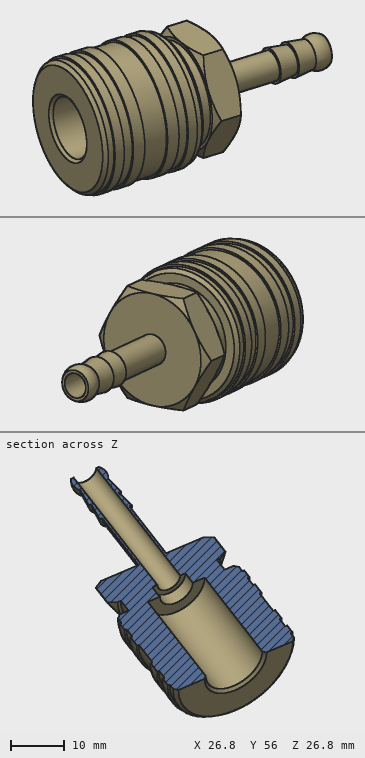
import cadquery as cq
import math


body_length = 22.0
neck_length = 2.75
hex_thickness = 6.25
overall_length = 56.0

body_radius = 13.0
end_chamfer = 0.75
ring_radius = 13.4
ring_spans = [(2.0, 4.0), (6.0, 8.5), (13.5, 16.0), (18.0, 20.0)]
neck_radius = 10.35

hex_across_flats = 22.0
hex_chamfer_angle = math.radians(30)

stem_radius = 3.0
barb_radius = 3.5
barb_length = 4.0
barb_count = 2
tip_length = 3.5
tip_radius = 3.6

socket_radius = 6.05
socket_depth = body_length
bore_chamfer = 0.6
step_radius = 3.5
passage_radius = 2.4

hex_start = body_length + neck_length
hex_end = hex_start + hex_thickness
tip_start = overall_length - tip_length
step_depth = hex_start


def cylinder(radius, start, end):
    """Solid cylinder about the Y axis between two Y positions."""
    disc = cq.Workplane("XZ", origin=(0, start, 0)).circle(radius)
    return disc.extrude(start - end)


def cone(start_radius, end_radius, start, end):
    """Solid truncated cone about the Y axis between two Y positions."""
    profile = [(0, start), (start_radius, start), (end_radius, end), (0, end)]
    return cq.Workplane("XY").polyline(profile).close().revolve(360, (0, 0, 0), (0, 1, 0))


def make_body():
    """Socket body with chamfered ends and raised grip rings."""
    body = cylinder(body_radius, 0, body_length).edges().chamfer(end_chamfer)
    for start, end in ring_spans:
        body = body.union(cylinder(ring_radius, start, end))
    return body


def make_hex_collar():
    """Hexagonal prism whose corners are turned down on both ends."""
    flat_radius = hex_across_flats / 2
    corner_radius = flat_radius / math.cos(math.pi / 6)
    chamfer_length = (corner_radius - flat_radius) * math.tan(hex_chamfer_angle)
    prism = (
        cq.Workplane("XZ", origin=(0, hex_start, 0))
        .polygon(6, 2 * corner_radius)
        .extrude(-hex_thickness)
    )
    envelope = (
        cylinder(corner_radius, hex_start, hex_end)
        .edges("%CIRCLE")
        .chamfer(chamfer_length, corner_radius - flat_radius)
    )
    return prism.intersect(envelope)


def make_tip():
    """Rounded, bulging end of the hose stem."""
    return (
        cq.Workplane("XY")
        .moveTo(0, tip_start)
        .lineTo(stem_radius, tip_start)
        .threePointArc((tip_radius, tip_start + tip_length / 2), (stem_radius, overall_length))
        .lineTo(0, overall_length)
        .close()
        .revolve(360, (0, 0, 0), (0, 1, 0))
    )


def make_stem():
    """Hose stem with barbs that narrow toward the tip."""
    stem = cylinder(stem_radius, hex_end, tip_start).union(make_tip())
    for index in range(barb_count):
        barb_end = tip_start - index * barb_length
        stem = stem.union(cone(barb_radius, stem_radius, barb_end - barb_length, barb_end))
    return stem


def make_bore():
    """Stepped bore: chamfered socket, short step and through passage."""
    mouth = cone(socket_radius + bore_chamfer, socket_radius, 0, bore_chamfer)
    return (
        cylinder(socket_radius, 0, socket_depth)
        .union(mouth)
        .union(cylinder(step_radius, 0, step_depth))
        .union(cylinder(passage_radius, 0, overall_length))
    )


neck = cylinder(neck_radius, body_length, hex_start)
outside = make_body().union(neck).union(make_hex_collar()).union(make_stem())
result = outside.cut(make_bore())